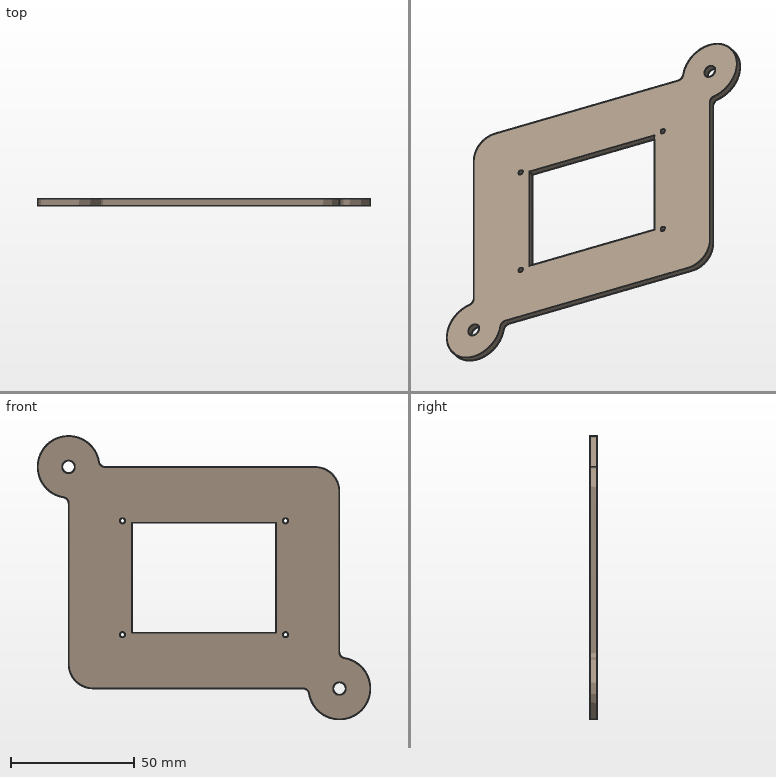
import cadquery as cq

overall_length = 135.0
overall_height = 115.0
thickness = 3.0
corner_radius = 10.0

ear_radius = 12.5
ear_hole_diameter = 5.0
neck_fillet_radius = 2.4

window_length = 58.3
window_height = 44.5
small_hole_spacing_x = 66.1
small_hole_spacing_z = 46.2
small_hole_diameter = 2.0

plate_length = overall_length - 2 * ear_radius
plate_height = overall_height - 2 * ear_radius
ear_centers = [
    (-plate_length / 2, plate_height / 2),
    (plate_length / 2, -plate_height / 2),
]


def back_face_plane():
    """XZ workplane whose positive extrusion runs toward -Y from the back face."""
    return cq.Workplane("XZ", origin=(0, thickness / 2, 0))


def make_plate():
    """Rectangular plate, rounded at the two corners without ears."""
    plate = back_face_plane().rect(plate_length, plate_height).extrude(thickness)
    for side in (-1, 1):
        corner = (side * plate_length / 2, 0, side * plate_height / 2)
        plate = plate.edges(cq.selectors.NearestToPointSelector(corner)).fillet(corner_radius)
    return plate


def add_ears(plate):
    """Join the ears and blend the inside corners where they meet the plate."""
    ears = back_face_plane().pushPoints(ear_centers).circle(ear_radius).extrude(thickness)
    body = plate.union(ears)
    for x, z in ear_centers:
        inward_x = -ear_radius if x > 0 else ear_radius
        inward_z = -ear_radius if z > 0 else ear_radius
        for neck in ((x + inward_x, 0, z), (x, 0, z + inward_z)):
            body = body.edges(cq.selectors.NearestToPointSelector(neck)).fillet(neck_fillet_radius)
    return body


def make_openings():
    """Through cutters for the window, the ear holes and the small holes."""
    window = back_face_plane().rect(window_length, window_height).extrude(thickness)
    ear_holes = back_face_plane().pushPoints(ear_centers).circle(ear_hole_diameter / 2).extrude(thickness)
    small_holes = (
        back_face_plane()
        .rect(small_hole_spacing_x, small_hole_spacing_z, forConstruction=True)
        .vertices()
        .circle(small_hole_diameter / 2)
        .extrude(thickness)
    )
    return window.union(ear_holes).union(small_holes)


result = add_ears(make_plate()).cut(make_openings())